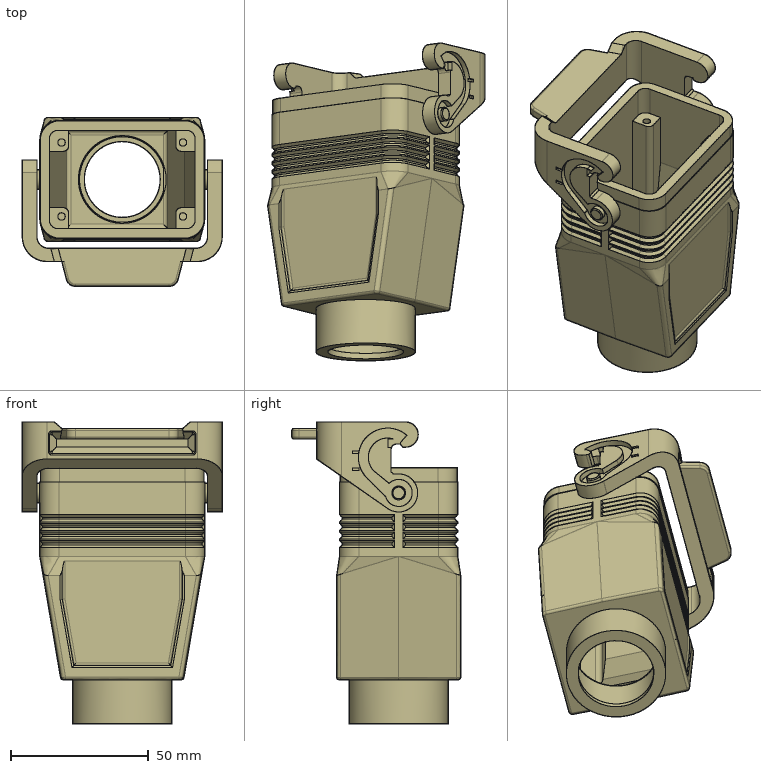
import cadquery as cq
import math

COLLAR_RADIUS = 18.0
COLLAR_HEIGHT = 16.0
BODY_WIDTH = 59.8
BODY_DEPTH = 42.9
BODY_CORNER = 7.0
RIM_WIDTH = 59.4
RIM_DEPTH = 42.5
RIM_CORNER = 7.0
SKIRT_DEPTH = 45.0
SKIRT_BOTTOM_WIDTH = 43.7
SKIRT_CROWN = 0.4
SKIRT_CORNER = 1.5
SKIRT_BOTTOM_FILLET = 1.0
SKIRT_TOP_Z = 53.8
SHOULDER_Z = 60.7
SKIRT_PEAK_WIDTH = BODY_WIDTH - 2 * SKIRT_CROWN
SKIRT_TAPER = (SKIRT_PEAK_WIDTH - SKIRT_BOTTOM_WIDTH) / (SHOULDER_Z - COLLAR_HEIGHT)
SKIRT_TOP_WIDTH = SKIRT_BOTTOM_WIDTH + SKIRT_TAPER * (SKIRT_TOP_Z - COLLAR_HEIGHT)
RIM_STEP_Z = 87.7
BODY_TOP_Z = 92.9

GROOVE_COUNT = 4
GROOVE_TOP_Z = 75.8
GROOVE_DEPTH = 1.0
GROOVE_FLOOR = 0.6
GROOVE_LAND = 0.5
GROOVE_WIDTH = GROOVE_FLOOR + 2 * GROOVE_DEPTH
GROOVE_PITCH = GROOVE_WIDTH + GROOVE_LAND
GROOVE_BAND = GROOVE_COUNT * GROOVE_PITCH - GROOVE_LAND
PILLAR_HALF_WIDTH = 1.5

PANEL_DEPTH = 0.8
PANEL_LIP_DEPTH = 0.25
PANEL_LIP_RUN = 0.75
PANEL_FLOOR_FILLET = 1.1
PANEL_HALF_WIDTH = 22.5
PANEL_BOTTOM_HALF_WIDTH = 18.2
PANEL_BEND_Z = 45.1
PANEL_BOTTOM_Z = 20.4

CAVITY_WIDTH = 52.8
CAVITY_DEPTH = 35.6
CAVITY_CORNER = 3.1
FLOOR_Z = 19.0
FLOOR_LEFT_X = -20.0
FLOOR_RIGHT_X = 16.1
WALL_BEND_X = 22.5
WALL_BEND_Z = 39.0
FLOOR_FILLET = 1.6
BORE_RADIUS = 15.5
BORE_CHAMFER = 0.4
OUTLET_RADIUS = 13.7
OUTLET_LIP = 2.0

POST_TOP_Z = 81.6
POST_INNER_X = 19.4
POST_INNER_Y = 10.2
POST_CORNER = 2.0
POST_HOLE_X = 22.0
POST_HOLE_Y = 13.4
POST_HOLE_DIAMETER = 2.7
POST_HOLE_DEPTH = 12.0

BAIL_WIDTH = 72.5
BAIL_TOP_Z = 109.45
BAIL_OUTER_Y = -29.75
ARM_THICKNESS = 5.4
PLATE_THICKNESS = 4.9
BAIL_OUTER_CORNER = 9.0
BAIL_INNER_CORNER = 4.0
PIVOT_Z = 83.7
ARM_END_RADIUS = 6.9
HOOK_RADIUS = 4.6
HOOK_Y = 2.5
HOOK_NOTCH_HEIGHT = 1.1
HOOK_NOTCH_START_Y = 1.5
HOOK_NOTCH_CREST_Y = 0.6
HOOK_NOTCH_RADIUS = 1.8
ARM_INNER_CHAMFER = 0.7
ARM_EDGE_Y = -2.7
PLATE_BOTTOM_Z = 96.0
PIVOT_BOSS_RADIUS = 3.6
PIN_RADIUS = 2.5
PIN_CHAMFER = 0.4

RELIEF_DEPTH = 2.0
RELIEF_DISC_RADIUS = 4.9
RELIEF_ARC_Y = -4.0
RELIEF_ARC_Z = 96.6
RELIEF_ARC_OUTER = 10.6
RELIEF_ARC_INNER = 7.0
RELIEF_ARC_START = 131.0
RELIEF_ARC_END = -45.0
RELIEF_MOUTH_Y = (-3.8, 0.7)
RELIEF_MOUTH_TOP_Z = 103.3
MARK_LENGTH = 2.4
MARK_HEIGHT = 1.0
MARK_DEPTH = 0.8
MARK_Y = -15.6
MARK_LEVELS = (92.3, 98.4)

TAB_TIP_Y = -38.75
TAB_TOP_Z = 107.1
TAB_THICKNESS = 3.9
TAB_ROOT_HALF_WIDTH = 23.2
TAB_TIP_HALF_WIDTH = 19.6
TAB_CORNER = 3.5
TAB_EDGE_FILLET = 0.8
NOTCH_FLARE_ANGLE = 48.0
POCKET_WIDTH = 53.6
POCKET_BOTTOM_Z = 97.4
POCKET_TOP_Z = 106.2
POCKET_CORNER = 1.5
POCKET_LIP_DEPTH = 0.2
POCKET_LIP_RUN = 0.5
POCKET_DEPTH = 2.7


def rounded_rect(width, depth, radius):
    return cq.Sketch().rect(width, depth).vertices().fillet(radius)


def level(z):
    return cq.Workplane("XY", origin=(0, 0, z))


def loft_between(lower, lower_z, upper, upper_z):
    raised = upper.moved(cq.Location(cq.Vector(0, 0, upper_z - lower_z)))
    return level(lower_z).placeSketch(lower, raised).loft(ruled=True)


def crowned_outline(width):
    """Skirt section whose X sides rise to a blunt ridge at mid depth."""
    half_width = width / 2
    half_depth = SKIRT_DEPTH / 2
    ridge_x = half_width + SKIRT_CROWN
    corners = [
        (-half_width, -half_depth),
        (half_width, -half_depth),
        (ridge_x, 0),
        (half_width, half_depth),
        (-half_width, half_depth),
        (-ridge_x, 0),
        (-half_width, -half_depth),
    ]
    return cq.Sketch().polygon(corners).vertices("<Y or >Y").fillet(SKIRT_CORNER)


def make_skirt():
    """Tapered skirt; its crowned sides end in a gable that peaks at the shoulder."""
    bottom_outline = crowned_outline(SKIRT_BOTTOM_WIDTH)
    peak_outline = crowned_outline(SKIRT_PEAK_WIDTH)
    skirt = loft_between(bottom_outline, COLLAR_HEIGHT, peak_outline, SHOULDER_Z)
    skirt = skirt.faces("<Z").edges().fillet(SKIRT_BOTTOM_FILLET)
    half_depth = SKIRT_DEPTH / 2
    gable = (
        cq.Workplane("YZ", origin=(-BODY_WIDTH / 2, 0, 0))
        .moveTo(-half_depth, 0)
        .lineTo(-half_depth, SKIRT_TOP_Z)
        .lineTo(0, SHOULDER_Z)
        .lineTo(half_depth, SKIRT_TOP_Z)
        .lineTo(half_depth, 0)
        .close()
        .extrude(BODY_WIDTH)
    )
    return skirt.intersect(gable)


def make_outer_body():
    body_outline = rounded_rect(BODY_WIDTH, BODY_DEPTH, BODY_CORNER)
    skirt_top = rounded_rect(SKIRT_TOP_WIDTH, SKIRT_DEPTH, SKIRT_CORNER)
    rim_outline = rounded_rect(RIM_WIDTH, RIM_DEPTH, RIM_CORNER)

    skirt = make_skirt()
    shoulder = loft_between(skirt_top, SKIRT_TOP_Z, body_outline, SHOULDER_Z)
    upper = level(SHOULDER_Z).placeSketch(body_outline).extrude(RIM_STEP_Z - SHOULDER_Z)
    rim = level(RIM_STEP_Z).placeSketch(rim_outline).extrude(BODY_TOP_Z - RIM_STEP_Z)
    collar = level(0).circle(COLLAR_RADIUS).extrude(COLLAR_HEIGHT)
    return collar.union(skirt).union(shoulder).union(upper).union(rim)


def make_groove_cutter():
    """Ring-shaped grooves around the body, interrupted by a pillar on each X side."""
    outline = rounded_rect(BODY_WIDTH, BODY_DEPTH, BODY_CORNER)
    core_outline = rounded_rect(
        BODY_WIDTH - 2 * GROOVE_DEPTH, BODY_DEPTH - 2 * GROOVE_DEPTH, BODY_CORNER - GROOVE_DEPTH
    )
    cutter = None
    for index in range(GROOVE_COUNT):
        top_z = GROOVE_TOP_Z - index * GROOVE_PITCH
        floor_top_z = top_z - GROOVE_DEPTH
        floor_bottom_z = floor_top_z - GROOVE_FLOOR
        bottom_z = top_z - GROOVE_WIDTH
        ring = level(bottom_z).rect(2 * BODY_WIDTH, 2 * BODY_DEPTH).extrude(GROOVE_WIDTH)
        ring = ring.cut(loft_between(outline, bottom_z, core_outline, floor_bottom_z))
        ring = ring.cut(level(floor_bottom_z).placeSketch(core_outline).extrude(GROOVE_FLOOR))
        ring = ring.cut(loft_between(core_outline, floor_top_z, outline, top_z))
        cutter = ring if cutter is None else cutter.union(ring)

    spread = 2 * GROOVE_DEPTH
    for side in (-1, 1):
        surface_x = side * BODY_WIDTH / 2
        inner_x = surface_x - side * spread
        outer_x = 2 * surface_x
        pillar = (
            level(GROOVE_TOP_Z - GROOVE_BAND)
            .moveTo(outer_x, -PILLAR_HALF_WIDTH)
            .lineTo(surface_x, -PILLAR_HALF_WIDTH)
            .lineTo(inner_x, -PILLAR_HALF_WIDTH - spread)
            .lineTo(inner_x, PILLAR_HALF_WIDTH + spread)
            .lineTo(surface_x, PILLAR_HALF_WIDTH)
            .lineTo(outer_x, PILLAR_HALF_WIDTH)
            .close()
            .extrude(GROOVE_BAND)
        )
        cutter = cutter.cut(pillar)
    return cutter


def make_panel_cutter():
    """Shallow label recess in the -Y face; it runs out through the shoulder slope."""
    run_out_z = SHOULDER_Z + PANEL_LIP_RUN + 2 * PANEL_DEPTH
    lip_angle = math.degrees(math.atan2(PANEL_LIP_RUN, PANEL_LIP_DEPTH))
    outline = [
        (-PANEL_HALF_WIDTH, run_out_z),
        (-PANEL_HALF_WIDTH, PANEL_BEND_Z),
        (-PANEL_BOTTOM_HALF_WIDTH, PANEL_BOTTOM_Z),
        (PANEL_BOTTOM_HALF_WIDTH, PANEL_BOTTOM_Z),
        (PANEL_HALF_WIDTH, PANEL_BEND_Z),
        (PANEL_HALF_WIDTH, run_out_z),
    ]
    face = cq.Workplane("XZ", origin=(0, -SKIRT_DEPTH / 2, 0))
    lip = face.polyline(outline).close().extrude(-PANEL_LIP_DEPTH, taper=lip_angle)
    wall_depth = PANEL_DEPTH - PANEL_LIP_DEPTH
    wall = lip.faces(">Y").wires().toPending().workplane().extrude(wall_depth, taper=45, combine=False)
    wall = wall.faces(">Y").edges().fillet(PANEL_FLOOR_FILLET)
    return lip.union(wall)


def make_posts():
    """Four posts that fill the cavity corners up to the insert seat."""
    posts = cq.Workplane("XY")
    size_x = CAVITY_WIDTH / 2 - POST_INNER_X
    size_y = CAVITY_DEPTH / 2 - POST_INNER_Y
    for x_side in (-1, 1):
        for y_side in (-1, 1):
            center_x = x_side * (POST_INNER_X + size_x / 2)
            center_y = y_side * (POST_INNER_Y + size_y / 2)
            inner_x_side = "<X" if x_side > 0 else ">X"
            inner_y_side = "<Y" if y_side > 0 else ">Y"
            post = (
                level(FLOOR_Z)
                .center(center_x, center_y)
                .rect(size_x, size_y)
                .extrude(POST_TOP_Z - FLOOR_Z)
                .faces(inner_x_side)
                .edges("|Z")
                .edges(inner_y_side)
                .fillet(POST_CORNER)
            )
            hole = (
                level(POST_TOP_Z)
                .center(x_side * POST_HOLE_X, y_side * POST_HOLE_Y)
                .circle(POST_HOLE_DIAMETER / 2)
                .extrude(-POST_HOLE_DEPTH)
            )
            posts = posts.union(post.cut(hole))
    return posts


def make_cavity():
    """Hollow of the hood: straight mouth, tapered lower chamber and cable outlet."""
    half_width = CAVITY_WIDTH / 2
    mouth = (
        level(SHOULDER_Z)
        .placeSketch(rounded_rect(CAVITY_WIDTH, CAVITY_DEPTH, CAVITY_CORNER))
        .extrude(BODY_TOP_Z - SHOULDER_Z)
    )
    chamber = (
        cq.Workplane("XZ", origin=(0, CAVITY_DEPTH / 2, 0))
        .moveTo(-half_width, SHOULDER_Z)
        .lineTo(FLOOR_LEFT_X, FLOOR_Z)
        .lineTo(FLOOR_RIGHT_X, FLOOR_Z)
        .lineTo(WALL_BEND_X, WALL_BEND_Z)
        .lineTo(half_width, SHOULDER_Z)
        .close()
        .extrude(CAVITY_DEPTH)
    )
    chamber = chamber.faces("<Z").edges().fillet(FLOOR_FILLET)
    mouth_corners = (
        level(FLOOR_Z)
        .placeSketch(rounded_rect(CAVITY_WIDTH, CAVITY_DEPTH, CAVITY_CORNER))
        .extrude(SHOULDER_Z - FLOOR_Z)
    )
    chamber = chamber.intersect(mouth_corners)
    bore_depth = FLOOR_Z - OUTLET_LIP
    bore = level(OUTLET_LIP).circle(BORE_RADIUS).extrude(bore_depth)
    bore_mouth = level(FLOOR_Z - BORE_CHAMFER).circle(BORE_RADIUS).workplane(offset=BORE_CHAMFER)
    bore_mouth = bore_mouth.circle(BORE_RADIUS + BORE_CHAMFER).loft(ruled=True)
    outlet = level(0).circle(OUTLET_RADIUS).extrude(FLOOR_Z)
    return mouth.union(chamber).cut(make_posts()).union(bore).union(bore_mouth).union(outlet)


def make_hood():
    hood = make_outer_body().cut(make_groove_cutter())
    panel = make_panel_cutter()
    hood = hood.cut(panel).cut(panel.mirror("XZ"))
    return hood.cut(make_cavity())


def make_arm_profile():
    """Side outline of the bail, drawn in the YZ plane and extruded across X."""
    hook_z = BAIL_TOP_Z - HOOK_RADIUS
    hook_bottom_z = hook_z - HOOK_RADIUS
    notch_top_z = hook_bottom_z + HOOK_NOTCH_HEIGHT
    reach_y = BAIL_OUTER_Y
    reach_z = PLATE_BOTTOM_Z - PIVOT_Z
    distance = math.hypot(reach_y, reach_z)
    tangent_angle = math.atan2(reach_z, reach_y) + math.acos(ARM_END_RADIUS / distance)
    tangent_y = ARM_END_RADIUS * math.cos(tangent_angle)
    tangent_z = PIVOT_Z + ARM_END_RADIUS * math.sin(tangent_angle)
    arm_end_top_z = PIVOT_Z + ARM_END_RADIUS
    half_chord = ARM_END_RADIUS * math.sqrt(0.5)
    notch_center_y = ARM_EDGE_Y + HOOK_NOTCH_RADIUS
    notch_center_z = notch_top_z - HOOK_NOTCH_RADIUS
    notch_chord = HOOK_NOTCH_RADIUS * math.sqrt(0.5)
    notch_middle = (notch_center_y - notch_chord, notch_center_z + notch_chord)
    return (
        cq.Workplane("YZ", origin=(-BAIL_WIDTH / 2, 0, 0))
        .moveTo(BAIL_OUTER_Y, BAIL_TOP_Z)
        .lineTo(HOOK_Y, BAIL_TOP_Z)
        .threePointArc((HOOK_Y + HOOK_RADIUS, hook_z), (HOOK_Y, hook_bottom_z))
        .lineTo(HOOK_NOTCH_START_Y, hook_bottom_z)
        .lineTo(HOOK_NOTCH_CREST_Y, notch_top_z)
        .lineTo(notch_center_y, notch_top_z)
        .threePointArc(notch_middle, (ARM_EDGE_Y, notch_center_z))
        .lineTo(ARM_EDGE_Y, arm_end_top_z + ARM_INNER_CHAMFER)
        .lineTo(ARM_EDGE_Y + ARM_INNER_CHAMFER, arm_end_top_z)
        .lineTo(0, arm_end_top_z)
        .threePointArc((half_chord, PIVOT_Z + half_chord), (ARM_END_RADIUS, PIVOT_Z))
        .threePointArc((half_chord, PIVOT_Z - half_chord), (tangent_y, tangent_z))
        .lineTo(BAIL_OUTER_Y, PLATE_BOTTOM_Z)
        .close()
        .extrude(BAIL_WIDTH)
    )


def make_bail_frame():
    """U-shaped frame: two arms joined by a plate on the -Y side."""
    arm_tip_y = HOOK_Y + HOOK_RADIUS
    length = arm_tip_y - BAIL_OUTER_Y
    inner_width = BAIL_WIDTH - 2 * ARM_THICKNESS
    height = BAIL_TOP_Z - PIVOT_Z + ARM_END_RADIUS
    base = level(PIVOT_Z - ARM_END_RADIUS)
    outer = base.center(0, BAIL_OUTER_Y + length / 2).rect(BAIL_WIDTH, length).extrude(height)
    outer = outer.faces("<Y").edges("|Z").fillet(BAIL_OUTER_CORNER)
    inner_center_y = BAIL_OUTER_Y + PLATE_THICKNESS + length / 2
    inner = base.center(0, inner_center_y).rect(inner_width, length).extrude(height)
    inner = inner.faces("<Y").edges("|Z").fillet(BAIL_INNER_CORNER)
    return outer.cut(inner).intersect(make_arm_profile())


def make_relief_cutter():
    """Curved channel, pivot recess and two index marks cut into the -X arm face."""
    face = cq.Workplane("YZ", origin=(-BAIL_WIDTH / 2, 0, 0))

    def on_arc(radius, degrees):
        angle = math.radians(degrees)
        return (RELIEF_ARC_Y - radius * math.cos(angle), RELIEF_ARC_Z + radius * math.sin(angle))

    middle = (RELIEF_ARC_START + RELIEF_ARC_END) / 2
    leg_end_z = RELIEF_ARC_Z + RELIEF_DISC_RADIUS + RELIEF_ARC_Y - RELIEF_ARC_OUTER * math.sqrt(2)
    reach = RELIEF_DISC_RADIUS * math.sqrt(0.5)
    outer_start, outer_middle, outer_end = [
        on_arc(RELIEF_ARC_OUTER, angle) for angle in (RELIEF_ARC_START, middle, RELIEF_ARC_END)
    ]
    inner_start, inner_middle, inner_end = [
        on_arc(RELIEF_ARC_INNER, angle) for angle in (RELIEF_ARC_START, middle, RELIEF_ARC_END)
    ]
    channel = (
        face.moveTo(*inner_start)
        .lineTo(*outer_start)
        .threePointArc(outer_middle, outer_end)
        .lineTo(-RELIEF_DISC_RADIUS, leg_end_z)
        .lineTo(0, PIVOT_Z)
        .lineTo(-reach, PIVOT_Z + reach)
        .lineTo(*inner_end)
        .threePointArc(inner_middle, inner_start)
        .close()
        .extrude(RELIEF_DEPTH)
    )
    disc = face.center(0, PIVOT_Z).circle(RELIEF_DISC_RADIUS).extrude(RELIEF_DEPTH)
    mouth_width = RELIEF_MOUTH_Y[1] - RELIEF_MOUTH_Y[0]
    mouth_height = RELIEF_MOUTH_TOP_Z - BAIL_TOP_Z + 2 * HOOK_RADIUS
    mouth_center_y = RELIEF_MOUTH_Y[0] + mouth_width / 2
    mouth_center_z = RELIEF_MOUTH_TOP_Z - mouth_height / 2
    mouth = face.center(mouth_center_y, mouth_center_z).rect(mouth_width, mouth_height)
    cutter = channel.union(disc).union(mouth.extrude(RELIEF_DEPTH))
    for mark_z in MARK_LEVELS:
        mark = face.center(MARK_Y, mark_z).rect(MARK_LENGTH, MARK_HEIGHT).extrude(MARK_DEPTH)
        cutter = cutter.union(mark)
    return cutter


def tab_outline(z):
    root_y = BAIL_OUTER_Y + PLATE_THICKNESS
    return level(z).polyline(
        [
            (-TAB_ROOT_HALF_WIDTH, root_y),
            (-TAB_TIP_HALF_WIDTH, TAB_TIP_Y),
            (TAB_TIP_HALF_WIDTH, TAB_TIP_Y),
            (TAB_ROOT_HALF_WIDTH, root_y),
        ]
    ).close()


def add_handle(bail):
    """Pocket in the plate, flared notch in its top edge, then the flat handle tab."""
    pocket_height = POCKET_TOP_Z - POCKET_BOTTOM_Z
    lip_angle = math.degrees(math.atan2(POCKET_LIP_RUN, POCKET_LIP_DEPTH))
    pocket_lip = (
        cq.Workplane("XZ", origin=(0, BAIL_OUTER_Y, POCKET_BOTTOM_Z + pocket_height / 2))
        .placeSketch(rounded_rect(POCKET_WIDTH, pocket_height, POCKET_CORNER))
        .extrude(-POCKET_LIP_DEPTH, taper=lip_angle)
    )
    pocket_rim = pocket_lip.faces(">Y").wires().toPending().workplane()
    pocket = pocket_rim.extrude(POCKET_DEPTH - POCKET_LIP_DEPTH, taper=45, combine=False)
    notch = tab_outline(TAB_TOP_Z).extrude(BAIL_TOP_Z - TAB_TOP_Z, taper=-NOTCH_FLARE_ANGLE)
    tab = tab_outline(TAB_TOP_Z - TAB_THICKNESS).extrude(TAB_THICKNESS)
    tab = tab.faces("<Y").edges("|Z").fillet(TAB_CORNER)
    tab = tab.faces("<Y").edges(">Z or <Z").fillet(TAB_EDGE_FILLET)
    return bail.cut(pocket_lip).cut(pocket).cut(notch).union(tab)


def make_pivot():
    """Spacer boss and chamfered pin that join the -X arm to the hood."""
    arm_inner_x = -BAIL_WIDTH / 2 + ARM_THICKNESS
    wall_x = -BODY_WIDTH / 2 + GROOVE_DEPTH
    boss = cq.Workplane("YZ", origin=(arm_inner_x, 0, PIVOT_Z)).circle(PIVOT_BOSS_RADIUS)
    boss = boss.extrude(wall_x - arm_inner_x)
    pin = cq.Workplane("YZ", origin=(-BAIL_WIDTH / 2, 0, PIVOT_Z)).circle(PIN_RADIUS)
    pin = pin.extrude(ARM_THICKNESS).faces("<X").chamfer(PIN_CHAMFER)
    return boss.union(pin)


def make_bail():
    relief = make_relief_cutter()
    pivot = make_pivot()
    bail = add_handle(make_bail_frame())
    bail = bail.cut(relief).cut(relief.mirror("YZ"))
    return bail.union(pivot).union(pivot.mirror("YZ"))


result = make_hood().union(make_bail())